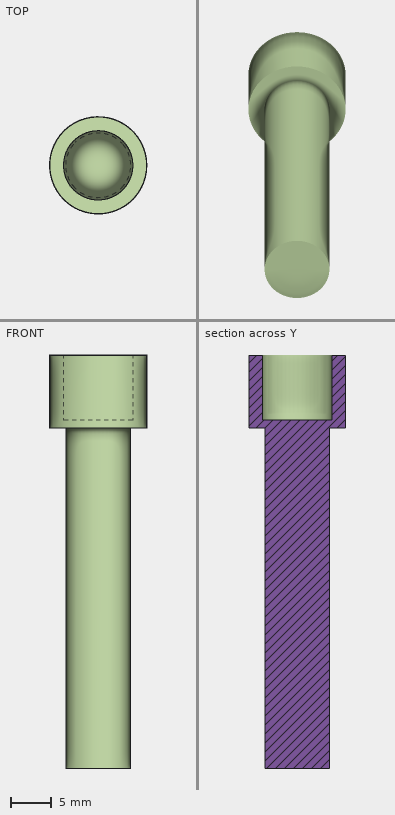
import cadquery as cq

total_length = 51.0
head_diameter = 12.0
head_height = 9.0
shank_diameter = 8.0

socket_diameter = 8.55
socket_floor_thickness = 1.0

shank_length = total_length - head_height
socket_depth = head_height - socket_floor_thickness


def make_shank():
    """Solid round shank standing on the XY plane."""
    return cq.Workplane("XY").circle(shank_diameter / 2).extrude(shank_length)


def add_head(body):
    """Wider cylindrical head on top of the shank."""
    return body.faces(">Z").workplane().circle(head_diameter / 2).extrude(head_height)


def cut_socket(body):
    """Flat-bottomed socket, wider than the shank, so its floor stays inside the head."""
    return body.faces(">Z").workplane().hole(socket_diameter, socket_depth)


result = cut_socket(add_head(make_shank()))